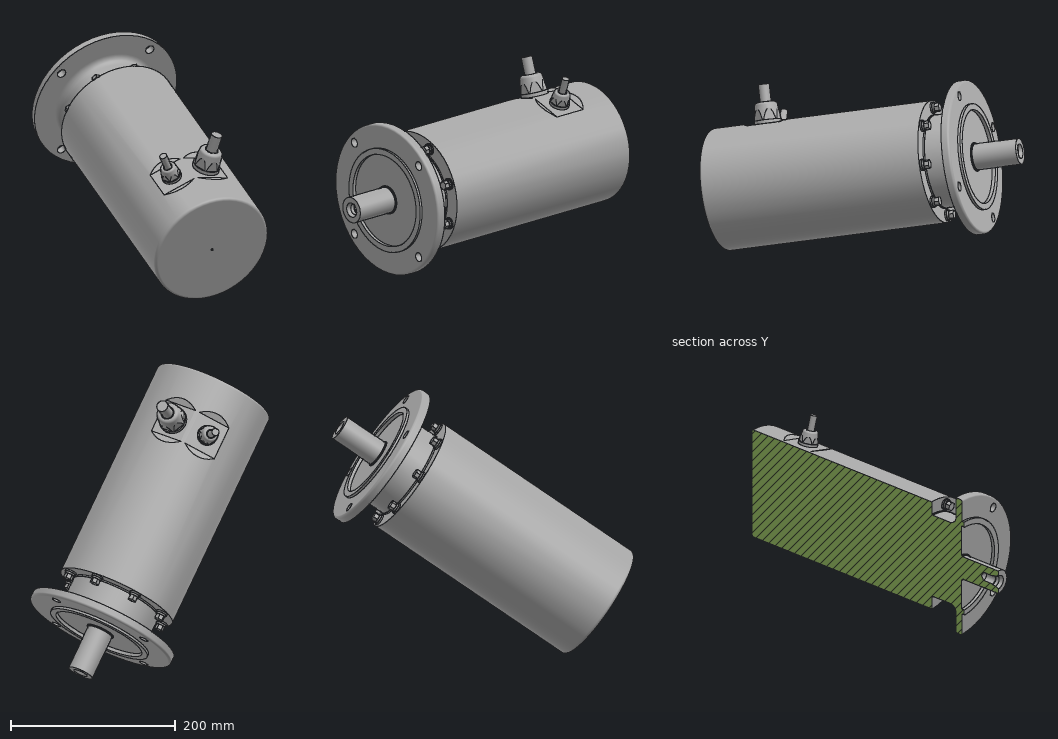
import cadquery as cq
import math


HEX_SIDES = 6

SHAFT_DIA = 32.0
SHOULDER_DIA = 35.0
SHOULDER_X = 56.5
SHOULDER_CHAMFER = 0.8
CENTRE_MOUTH_DIA = 18.0
CENTRE_RECESS_DIA = 13.0
CENTRE_RECESS_DEPTH = 9.5
CENTRE_CONE_ANGLE = 60
CENTRE_BORE_DIA = 10.5
CENTRE_BORE_DEPTH = 23.5
DRILL_POINT_ANGLE = 118

SPIGOT_X = 54.0
SPIGOT_DIA = 130.0
SPIGOT_RECESS_DIA = 115.0
SPIGOT_RECESS_DEPTH = 4.3
FLANGE_X = 57.0
FLANGE_BACK_X = 67.5
FLANGE_DIA = 189.0
FLANGE_FILLET = 3.0
FLANGE_HOLE_DIA = 11.0
FLANGE_HOLE_SPACING = 117.0

NECK_DIA = 114.0
NECK_FILLET = 9.5
NECK_COLLAR_DIA = 115.0
NECK_COLLAR_WIDTH = 2.0

HOUSING_X = 105.0
HOUSING_END_X = 389.2
HOUSING_DIA = 150.0
HOUSING_FILLET = 4.0
END_NUB_X = 390.0
END_NUB_DIA = 2.5

SCREW_COUNT = 8
SCREW_CIRCLE_DIA = 132.0
SCREW_HEAD_CORNERS = 11.0
SCREW_HEAD_TURN = -15
SCREW_HEAD_X = 94.8
SPRING_WASHER_DIA = 11.7
SPRING_WASHER_THICKNESS = 2.5
WASHER_DIA = 14.0
WASHER_THICKNESS = 2.0

SEAT_X = 319.0
SEAT_LENGTH = 42.5
SEAT_RADIUS = 72.0
SEAT_TILT = 18
SEAT_RAMP_ANGLE = 20
SEAT_CUTTER_CLEARANCE = 4.0

POWER_GLAND = dict(
    base_dia=33.5,
    base_height=4.5,
    nut_top_dia=27.3,
    across_flats=29.5,
    height=27.0,
    dome_fillet=4.3,
    mouth_dia=16.0,
    mouth_depth=1.5,
    cable_dia=14.0,
    cable_end=48.8,
)
SIGNAL_GLAND = dict(
    base_dia=24.0,
    base_height=3.5,
    nut_top_dia=18.7,
    across_flats=21.0,
    height=18.7,
    dome_fillet=3.0,
    mouth_dia=11.0,
    mouth_depth=1.5,
    cable_dia=9.0,
    cable_end=38.0,
)


def cylinder(x_start, x_end, dia):
    """A cylinder on the motor axis between two X positions."""
    return cq.Workplane("YZ", origin=(x_start, 0, 0)).circle(dia / 2).extrude(x_end - x_start)


def tilt_to_seat(shape, side):
    """Place a shape that stands on z = 0 upright on the +Y or -Y gland seat."""
    return shape.translate((SEAT_X, 0, SEAT_RADIUS)).rotate((0, 0, 0), (1, 0, 0), -side * SEAT_TILT)


def make_flange():
    """Round flange with a recessed spigot in front and four mounting holes."""
    flange = cylinder(FLANGE_X, FLANGE_BACK_X, FLANGE_DIA).faces("<X").edges().fillet(FLANGE_FILLET)
    flange = flange.union(cylinder(SPIGOT_X, FLANGE_X, SPIGOT_DIA))
    flange = flange.cut(cylinder(SPIGOT_X, SPIGOT_X + SPIGOT_RECESS_DEPTH, SPIGOT_RECESS_DIA))
    holes = (
        cq.Workplane("YZ", origin=(FLANGE_X, 0, 0))
        .rect(FLANGE_HOLE_SPACING, FLANGE_HOLE_SPACING, forConstruction=True)
        .vertices()
        .circle(FLANGE_HOLE_DIA / 2)
        .extrude(FLANGE_BACK_X - FLANGE_X)
    )
    return flange.cut(holes)


def make_neck():
    """Cylinder from flange to housing: concave fillet at the flange, thin collar at the housing."""
    radius = NECK_DIA / 2
    fillet_end_x = FLANGE_BACK_X + NECK_FILLET
    diagonal = NECK_FILLET * (1 - math.sqrt(0.5))
    neck = (
        cq.Workplane("XY")
        .moveTo(FLANGE_BACK_X, 0)
        .lineTo(FLANGE_BACK_X, radius + NECK_FILLET)
        .threePointArc((FLANGE_BACK_X + diagonal, radius + diagonal), (fillet_end_x, radius))
        .lineTo(HOUSING_X, radius)
        .lineTo(HOUSING_X, 0)
        .close()
        .revolve(360, (0, 0, 0), (1, 0, 0))
    )
    return neck.union(cylinder(HOUSING_X - NECK_COLLAR_WIDTH, HOUSING_X, NECK_COLLAR_DIA))


def make_screws():
    """Hexagon-head screws on washers, spaced evenly round the housing face."""
    washer_x = HOUSING_X - WASHER_THICKNESS
    spring_washer_x = washer_x - SPRING_WASHER_THICKNESS
    screw = (
        cq.Workplane("YZ", origin=(SCREW_HEAD_X, 0, 0))
        .polygon(HEX_SIDES, SCREW_HEAD_CORNERS)
        .extrude(spring_washer_x - SCREW_HEAD_X)
        .rotate((0, 0, 0), (1, 0, 0), SCREW_HEAD_TURN)
        .union(cylinder(spring_washer_x, washer_x, SPRING_WASHER_DIA))
        .union(cylinder(washer_x, HOUSING_X, WASHER_DIA))
        .translate((0, SCREW_CIRCLE_DIA / 2, 0))
    )
    pitch = 360 / SCREW_COUNT
    return [screw.rotate((0, 0, 0), (1, 0, 0), (index + 0.5) * pitch) for index in range(SCREW_COUNT)]


def make_seat_cutter(side):
    """Flat-bottomed cutter with ramped ends for one gland seat."""
    height = HOUSING_DIA / 2 - SEAT_RADIUS + SEAT_CUTTER_CLEARANCE
    ramp = height / math.tan(math.radians(SEAT_RAMP_ANGLE))
    half = SEAT_LENGTH / 2
    cutter = (
        cq.Workplane("XZ")
        .polyline([(-half, 0), (half, 0), (half + ramp, height), (-half - ramp, height)])
        .close()
        .extrude(HOUSING_DIA / 2, both=True)
    )
    return tilt_to_seat(cutter, side)


def make_housing():
    """Housing cylinder with a rounded rear edge, a small nub on its end and two gland seats."""
    housing = cylinder(HOUSING_X, HOUSING_END_X, HOUSING_DIA).faces(">X").edges().fillet(HOUSING_FILLET)
    housing = housing.union(cylinder(HOUSING_END_X, END_NUB_X, END_NUB_DIA))
    for side in (1, -1):
        housing = housing.cut(make_seat_cutter(side))
    return housing


def make_shaft_bore():
    """Centre hole in the shaft end: cone, recess, then a bore with a drill point."""
    mouth_radius = CENTRE_MOUTH_DIA / 2
    recess_radius = CENTRE_RECESS_DIA / 2
    bore_radius = CENTRE_BORE_DIA / 2
    cone_end_x = (mouth_radius - recess_radius) / math.tan(math.radians(CENTRE_CONE_ANGLE / 2))
    point_x = CENTRE_BORE_DEPTH + bore_radius / math.tan(math.radians(DRILL_POINT_ANGLE / 2))
    outline = [
        (0, 0),
        (0, mouth_radius),
        (cone_end_x, recess_radius),
        (CENTRE_RECESS_DEPTH, recess_radius),
        (CENTRE_RECESS_DEPTH, bore_radius),
        (CENTRE_BORE_DEPTH, bore_radius),
        (point_x, 0),
    ]
    return cq.Workplane("XY").polyline(outline).close().revolve(360, (0, 0, 0), (1, 0, 0))


def make_shaft():
    """Shaft with a chamfered shoulder at the flange and a centre hole in its end."""
    shaft = cylinder(0, FLANGE_BACK_X, SHAFT_DIA)
    shoulder = cylinder(SHOULDER_X, FLANGE_BACK_X, SHOULDER_DIA).faces("<X").edges().chamfer(SHOULDER_CHAMFER)
    return shaft.union(shoulder).cut(make_shaft_bore())


def make_motor():
    """Flange, neck, housing, shaft and screws as one solid."""
    motor = make_flange().union(make_neck()).union(make_housing()).union(make_shaft())
    for screw in make_screws():
        motor = motor.union(screw)
    return motor


def make_gland(
    side,
    base_dia,
    base_height,
    nut_top_dia,
    across_flats,
    height,
    dome_fillet,
    mouth_dia,
    mouth_depth,
    cable_dia,
    cable_end,
):
    """Cable gland on one seat: round base, tapered nut with six flats, domed mouth and cable stub."""
    nut = (
        cq.Workplane("XZ")
        .polyline([(0, base_height), (base_dia / 2, base_height), (nut_top_dia / 2, height), (0, height)])
        .close()
        .revolve(360, (0, 0, 0), (0, 1, 0))
        .faces(">Z")
        .edges()
        .fillet(dome_fillet)
    )
    hexagon = (
        cq.Workplane("XY", origin=(0, 0, base_height))
        .polygon(HEX_SIDES, across_flats / math.cos(math.pi / HEX_SIDES))
        .extrude(height - base_height)
        .rotate((0, 0, 0), (0, 0, 1), 180 / HEX_SIDES)
    )
    mouth = cq.Workplane("XY", origin=(0, 0, height - mouth_depth)).circle(mouth_dia / 2).extrude(mouth_depth)
    base = cq.Workplane("XY").circle(base_dia / 2).extrude(base_height)
    cable = cq.Workplane("XY").circle(cable_dia / 2).extrude(cable_end)
    gland = base.union(nut.intersect(hexagon).cut(mouth)).union(cable)
    return tilt_to_seat(gland, side)


motor = make_motor()
power_gland = make_gland(1, **POWER_GLAND)
signal_gland = make_gland(-1, **SIGNAL_GLAND)

result = cq.Compound.makeCompound([motor.val(), power_gland.val(), signal_gland.val()])